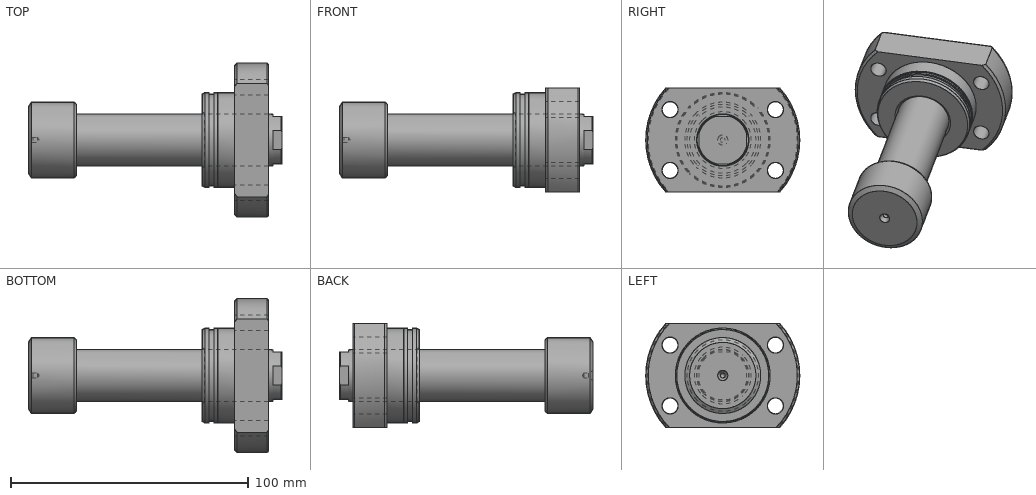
import cadquery as cq
import math

overall_length = 107.0

head_diameter = 32.0
head_length = 20.3
head_front_chamfer_length = 1.3
head_front_chamfer_depth = 2.0
head_rear_chamfer = 1.0
shaft_diameter = 22.0
shaft_taper_start = 102.1
shaft_taper_length = 1.1
square_corner_diameter = 21.6
square_across_flats = 20.0
square_end_chamfer = 0.4

centre_mouth_diameter = 4.3
centre_pilot_diameter = 2.0
centre_countersink_angle = 60.0
centre_pilot_length = 2.0
drill_point_angle = 120.0

flange_diameter = 65.0
flange_height = 44.0
flange_front = 86.9
flange_thickness = 14.3
flange_front_chamfer = 1.1
flange_rear_chamfer = 0.6
spigot_diameter = 40.0
spigot_length = 13.6
spigot_chamfer_length = 1.2
spigot_chamfer_depth = 0.6
seal_groove_offset = 2.9
seal_groove_width = 2.0
seal_groove_depth = 0.6
narrow_groove_offset = 6.4
narrow_groove_width = 0.3
narrow_groove_depth = 0.3

lead_in_diameter = 24.0
lead_in_depth = 1.0

bolt_hole_diameter = 6.6
bolt_circle_diameter = 51.3
bolt_angle = 30.0

spigot_front = flange_front - spigot_length
flange_rear = flange_front + flange_thickness


def cylinder(diameter, start, length):
    """A cylinder on the X axis, from x = start towards +X."""
    return cq.Workplane("YZ", origin=(start, 0, 0)).circle(diameter / 2).extrude(length)


def turned(profile):
    """A solid of revolution about X, from (x, radius) points that start and end on the axis."""
    return cq.Workplane("XY").polyline(profile).close().revolve(360, (0, 0, 0), (1, 0, 0))


def cut_ring(body, start, width, depth):
    """Cut a groove of rectangular section around the spigot."""
    core = cylinder(spigot_diameter - 2 * depth, start, width)
    ring = cylinder(spigot_diameter, start, width).cut(core)
    return body.cut(ring)


def make_centre_hole():
    mouth = centre_mouth_diameter / 2
    pilot = centre_pilot_diameter / 2
    countersink_end = (mouth - pilot) / math.tan(math.radians(centre_countersink_angle / 2))
    pilot_end = countersink_end + centre_pilot_length
    tip = pilot_end + pilot / math.tan(math.radians(drill_point_angle / 2))
    return turned([(0, 0), (0, mouth), (countersink_end, pilot), (pilot_end, pilot), (tip, 0)])


def make_drive_square():
    start = shaft_taper_start + shaft_taper_length
    length = overall_length - start
    corners = cylinder(square_corner_diameter, start, length).faces(">X").chamfer(square_end_chamfer)
    flats = (
        cq.Workplane("YZ", origin=(start, 0, 0))
        .rect(square_across_flats, square_across_flats)
        .extrude(length)
    )
    return corners.intersect(flats)


def make_rod():
    head = head_diameter / 2
    shaft = shaft_diameter / 2
    taper_end = shaft_taper_start + shaft_taper_length
    body = turned([
        (0, 0),
        (0, head - head_front_chamfer_depth),
        (head_front_chamfer_length, head),
        (head_length - head_rear_chamfer, head),
        (head_length, head - head_rear_chamfer),
        (head_length, shaft),
        (shaft_taper_start, shaft),
        (taper_end, square_corner_diameter / 2),
        (taper_end, 0),
    ])
    return body.union(make_drive_square()).cut(make_centre_hole())


def make_flange():
    disc = cylinder(flange_diameter, flange_front, flange_thickness)
    disc = disc.faces("<X").chamfer(flange_front_chamfer).faces(">X").chamfer(flange_rear_chamfer)
    flats = (
        cq.Workplane("YZ", origin=(flange_front, 0, 0))
        .rect(flange_diameter, flange_height)
        .extrude(flange_thickness)
    )
    return disc.intersect(flats)


def make_spigot():
    radius = spigot_diameter / 2
    body = turned([
        (spigot_front, 0),
        (spigot_front, radius - spigot_chamfer_depth),
        (spigot_front + spigot_chamfer_length, radius),
        (flange_front, radius),
        (flange_front, 0),
    ])
    body = cut_ring(body, spigot_front + seal_groove_offset, seal_groove_width, seal_groove_depth)
    return cut_ring(body, spigot_front + narrow_groove_offset, narrow_groove_width, narrow_groove_depth)


def cut_bolt_holes(body):
    for angle in (bolt_angle, 180 - bolt_angle, 180 + bolt_angle, -bolt_angle):
        y = bolt_circle_diameter / 2 * math.cos(math.radians(angle))
        z = bolt_circle_diameter / 2 * math.sin(math.radians(angle))
        hole = cylinder(bolt_hole_diameter, flange_front, flange_thickness).translate((0, y, z))
        body = body.cut(hole)
    return body


def make_lead_in():
    lead_in_end = spigot_front + lead_in_depth
    return turned([
        (spigot_front, 0),
        (spigot_front, lead_in_diameter / 2),
        (lead_in_end, shaft_diameter / 2),
        (lead_in_end, 0),
    ])


def make_housing():
    body = cut_bolt_holes(make_flange().union(make_spigot()))
    body = body.cut(cylinder(shaft_diameter, spigot_front, flange_rear - spigot_front))
    return body.cut(make_lead_in())


rod = make_rod()
housing = make_housing()
result = cq.Compound.makeCompound([rod.val(), housing.val()])